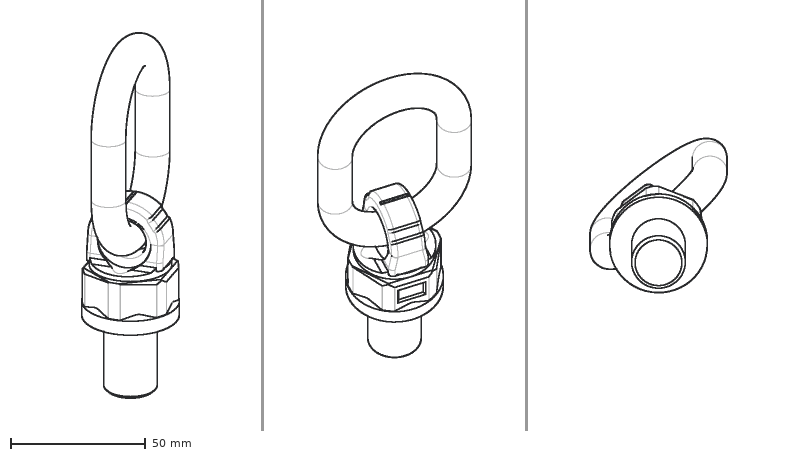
import cadquery as cq
import math

total_height = 143.0
link_width = 61.0
bar_diameter = 13.0
bar_radius = bar_diameter / 2
link_straight = 24.9
link_bend_radius = link_width / 2 - bar_radius
link_top_bend_z = total_height - link_width / 2
link_bottom_bend_z = link_top_bend_z - link_straight

shank_radius = 10.0
shank_chamfer = 1.3
flange_bottom_z = 30.2
flange_top_z = 35.9
flange_radius = 18.23
hex_top_z = 50.9
hex_across_flats = 33.3
hex_corner_radius = 18.0
hex_sharp_radius = hex_across_flats / math.sqrt(3)
hex_edge_fillet = 0.5
hex_top_chamfer_height = 1.7
hex_top_chamfer_width = 1.22
hex_foot_z = 38.3
hex_foot_radius = 16.6
hex_foot_sag = 0.3
plate_width = 11.5
plate_height = 6.9
plate_center_z = 43.5
plate_depth = 0.7
plate_wall_taper = 50

disc_radius = 15.5
disc_edge_z = 52.8
disc_roof_z = 53.5
disc_roof_half_width = 10.0
eye_center_z = link_bottom_bend_z - link_bend_radius
eye_radius = 15.0
foot_half_thickness = 8.0
foot_bottom_z = 54.9
foot_top_z = 56.9
waist_half_thickness = 6.79
crown_half_thickness = 6.6
rim_fillet = 1.9
hole_center_z = 63.0
hole_radius = 7.9
hole_lip_radius = 2.7
scoop_end_radius = 9.9
panel_depth = 0.6
panel_rim_angles = (24.0, 46.0)
panel_floor_angles = (28.0, 41.0)
crown_groove_width = 1.1
crown_groove_depth = 0.3


def make_link():
    """Bar circle swept along two straights and two half-circle bends."""
    path = (
        cq.Workplane("YZ")
        .moveTo(link_bend_radius, link_bottom_bend_z)
        .lineTo(link_bend_radius, link_top_bend_z)
        .threePointArc((0, link_top_bend_z + link_bend_radius), (-link_bend_radius, link_top_bend_z))
        .lineTo(-link_bend_radius, link_bottom_bend_z)
        .threePointArc((0, link_bottom_bend_z - link_bend_radius), (link_bend_radius, link_bottom_bend_z))
        .close()
    )
    return (
        cq.Workplane("XY", origin=(0, link_bend_radius, link_bottom_bend_z))
        .circle(bar_radius)
        .sweep(path)
    )


def make_wedge(apex, low, inner, outer):
    """Tetrahedron spanned by four points."""
    corners = (apex, low, inner, outer)
    faces = []
    for skipped in corners:
        triangle = [cq.Vector(*corner) for corner in corners if corner is not skipped]
        faces.append(cq.Face.makeFromWires(cq.Wire.makePolygon(triangle, close=True)))
    return cq.Solid.makeSolid(cq.Shell.makeShell(faces))


def make_hexagon():
    """Hexagon with turned corners, one pair of them on the Y axis."""
    height = hex_top_z - flange_bottom_z
    turned = cq.Workplane("XY", origin=(0, 0, flange_bottom_z)).circle(hex_corner_radius).extrude(height)
    hexagon = (
        cq.Workplane("XY", origin=(0, 0, flange_bottom_z))
        .transformed(rotate=(0, 0, 30))
        .polygon(6, 2 * hex_sharp_radius)
        .extrude(height)
        .intersect(turned)
        .edges("|Z")
        .fillet(hex_edge_fillet)
    )
    return chamfer_hexagon(hexagon)


def chamfer_hexagon(hexagon):
    """Chamfer the top edges: full size along the X flats, fading to nothing at the Y corners."""
    flat_x = hex_across_flats / 2
    inner_x = flat_x - hex_top_chamfer_width
    corner_y = hex_sharp_radius / 2
    inner_y = corner_y * inner_x / flat_x
    low_z = hex_top_z - hex_top_chamfer_height
    bevel = (
        cq.Workplane("XZ")
        .moveTo(flat_x, hex_top_z)
        .lineTo(flat_x, low_z)
        .lineTo(inner_x, hex_top_z)
        .close()
        .extrude(corner_y, both=True)
    )
    fading_bevel = make_wedge(
        (0, hex_sharp_radius, hex_top_z),
        (flat_x, corner_y, low_z),
        (inner_x, inner_y, hex_top_z),
        (flat_x, corner_y, hex_top_z),
    )
    for wedge in (bevel.val(), fading_bevel, fading_bevel.mirror("XZ")):
        hexagon = hexagon.cut(cq.Workplane(wedge)).cut(cq.Workplane(wedge.mirror("YZ")))
    return hexagon


def make_bolt():
    """Shank, flange and hexagon in one piece, with a marking recess on the -X flat."""
    foot_middle = (
        (flange_radius + hex_foot_radius) / 2 - hex_foot_sag,
        (flange_top_z + hex_foot_z) / 2 - hex_foot_sag,
    )
    turned = (
        cq.Workplane("XZ")
        .lineTo(shank_radius - shank_chamfer, 0)
        .lineTo(shank_radius, shank_chamfer)
        .lineTo(shank_radius, flange_bottom_z)
        .lineTo(flange_radius, flange_bottom_z)
        .lineTo(flange_radius, flange_top_z)
        .threePointArc(foot_middle, (hex_foot_radius, hex_foot_z))
        .lineTo(0, hex_foot_z)
        .close()
        .revolve(360, (0, 0, 0), (0, 1, 0))
    )
    recess = (
        cq.Workplane("YZ", origin=(-hex_across_flats / 2, 0, plate_center_z))
        .rect(plate_width, plate_height)
        .extrude(plate_depth, taper=plate_wall_taper)
    )
    return turned.union(make_hexagon()).cut(recess)


def rim_point(radius, angle):
    """Point (x, z) around the eye center, with the angle in degrees up from the +X direction."""
    angle = math.radians(angle)
    return radius * math.cos(angle), eye_center_z + radius * math.sin(angle)


def mirrored(point):
    """The same (x, z) point on the other side of the eye."""
    return -point[0], point[1]


def make_lug_front():
    """Round-topped front outline with a shallow marking panel sunk into each shoulder."""
    floor_radius = eye_radius - panel_depth
    low_rim, high_rim = (rim_point(eye_radius, angle) for angle in panel_rim_angles)
    low_floor, high_floor = (rim_point(floor_radius, angle) for angle in panel_floor_angles)
    shoulder = rim_point(eye_radius, panel_rim_angles[0] / 2)
    floor_middle = rim_point(floor_radius, sum(panel_floor_angles) / 2)
    return (
        cq.Workplane("XZ")
        .moveTo(-eye_radius, disc_roof_z)
        .lineTo(eye_radius, disc_roof_z)
        .lineTo(eye_radius, eye_center_z)
        .threePointArc(shoulder, low_rim)
        .lineTo(*low_floor)
        .threePointArc(floor_middle, high_floor)
        .lineTo(*high_rim)
        .threePointArc((0, eye_center_z + eye_radius), mirrored(high_rim))
        .lineTo(*mirrored(high_floor))
        .threePointArc(mirrored(floor_middle), mirrored(low_floor))
        .lineTo(*mirrored(low_rim))
        .threePointArc(mirrored(shoulder), (-eye_radius, eye_center_z))
        .close()
        .extrude(foot_half_thickness, both=True)
    )


def make_lug_side():
    """Side outline: straight foot, strong taper to the waist, slight taper to the crown."""
    crown_z = eye_center_z + eye_radius
    return (
        cq.Workplane("YZ")
        .moveTo(-foot_half_thickness, disc_roof_z)
        .lineTo(foot_half_thickness, disc_roof_z)
        .lineTo(foot_half_thickness, foot_top_z)
        .lineTo(waist_half_thickness, eye_center_z)
        .lineTo(crown_half_thickness, crown_z)
        .lineTo(-crown_half_thickness, crown_z)
        .lineTo(-waist_half_thickness, eye_center_z)
        .lineTo(-foot_half_thickness, foot_top_z)
        .close()
        .extrude(eye_radius, both=True)
    )


def make_lug():
    """Lug with its whole rim rounded on both faces."""
    lug = make_lug_front().intersect(make_lug_side())
    return lug.edges("not (|X or |Y)").fillet(rim_fillet)


def make_base():
    """Disc with gently sloped roof sides and a beveled plinth under the foot of the lug."""
    roof = (
        cq.Workplane("YZ")
        .moveTo(-disc_radius, hex_top_z)
        .lineTo(disc_radius, hex_top_z)
        .lineTo(disc_radius, disc_edge_z)
        .lineTo(disc_roof_half_width, disc_roof_z)
        .lineTo(-disc_roof_half_width, disc_roof_z)
        .lineTo(-disc_radius, disc_edge_z)
        .close()
        .extrude(disc_radius, both=True)
    )
    plinth = (
        cq.Workplane("YZ")
        .moveTo(-disc_roof_half_width, disc_roof_z)
        .lineTo(disc_roof_half_width, disc_roof_z)
        .lineTo(foot_half_thickness, foot_bottom_z)
        .lineTo(-foot_half_thickness, foot_bottom_z)
        .close()
        .extrude(eye_radius, both=True)
    )
    disc = (
        cq.Workplane("XY", origin=(0, 0, hex_top_z))
        .circle(disc_radius)
        .extrude(foot_bottom_z - hex_top_z)
    )
    return disc.intersect(roof.union(plinth))


def make_hole_cutter():
    """Turned cutter about the Y direction whose arcs round both lips of the hole."""
    lip_start = waist_half_thickness - hole_lip_radius
    mouth_radius = hole_radius + hole_lip_radius
    lip_x = mouth_radius - hole_lip_radius * math.sqrt(0.5)
    lip_y = lip_start + hole_lip_radius * math.sqrt(0.5)
    return (
        cq.Workplane("XY", origin=(0, 0, hole_center_z))
        .moveTo(0, -disc_radius)
        .lineTo(scoop_end_radius, -disc_radius)
        .lineTo(mouth_radius, -waist_half_thickness)
        .threePointArc((lip_x, -lip_y), (hole_radius, -lip_start))
        .lineTo(hole_radius, lip_start)
        .threePointArc((lip_x, lip_y), (mouth_radius, waist_half_thickness))
        .lineTo(scoop_end_radius, disc_radius)
        .lineTo(0, disc_radius)
        .close()
        .revolve(360, (0, 0, 0), (0, 1, 0))
    )


def make_crown_groove():
    """Shallow groove running along Y over the top of the eye."""
    return cq.Workplane("XY", origin=(0, 0, eye_center_z + eye_radius)).box(
        crown_groove_width, 2 * waist_half_thickness, 2 * crown_groove_depth
    )


def make_eye():
    """Base and lug in one piece with the rounded hole through them and a groove over the crown."""
    return make_base().union(make_lug()).cut(make_hole_cutter()).cut(make_crown_groove())


link = make_link()
bolt = make_bolt()
eye = make_eye()
result = cq.Compound.makeCompound([link.val(), bolt.val(), eye.val()])